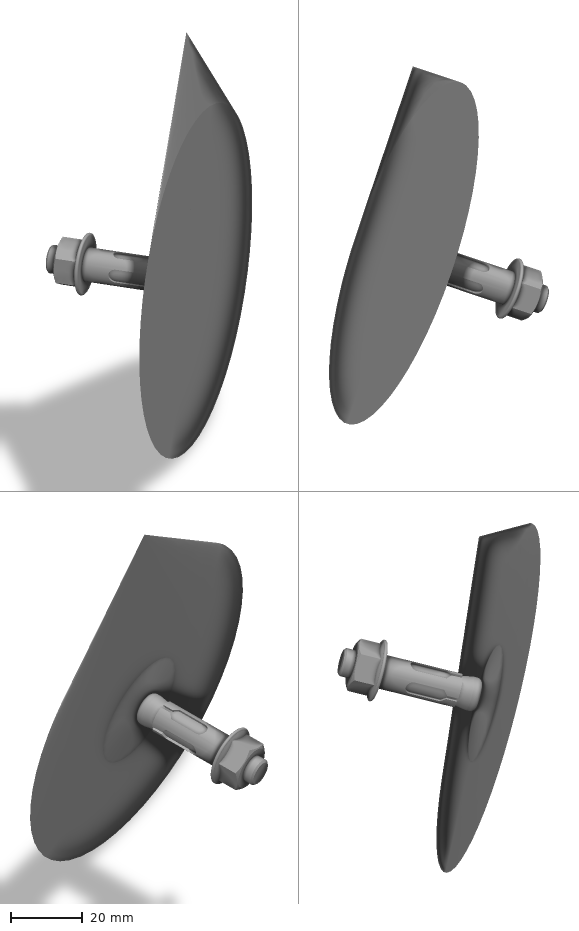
import cadquery as cq
import math


OVERALL_LENGTH = 42.73

PLATE_RADIUS = 50.0
PLATE_DEPTH = 2.73
OVERALL_HEIGHT = 127.11
TIP_HEIGHT = OVERALL_HEIGHT - PLATE_RADIUS

CENTER_CONE_RADIUS = 25.0
CENTER_CONE_HEIGHT = 2.9

STUD_RADIUS = 4.0
STUD_END_RADIUS = 3.45
STUD_START_X = -OVERALL_LENGTH

HEAD_RADIUS = 4.8
HEAD_CONE_START_X = -9.65
HEAD_CONE_END_X = -5.85
HEAD_CONE_END_RADIUS = 4.75
COLLAR_START_X = -5.45
COLLAR_END_X = -4.4
HEAD_END_X = -CENTER_CONE_HEIGHT

NUT_WIDTH = 13.0
NUT_START_X = -39.6
NUT_CHAMFER_RADIUS = 6.2
NUT_CHAMFER_LENGTH = 0.7
FLANGE_START_X = -33.6
FLANGE_END_X = -31.75
FLANGE_RADIUS = 8.8
FLANGE_RIM_RADIUS = 0.5

CORE_RADIUS = 4.1
SLEEVE_RADIUS = HEAD_RADIUS
SLEEVE_END_X = -8.9
WINDOW_COUNT = 4
WINDOW_WIDTH = 4.0
WINDOW_START_X = -24.0
WINDOW_TAPER_X = -13.4
SLIT_START_X = -12.1
SLIT_WIDTH = 1.1


def revolve_about_x(profile):
    """Close an outline drawn in x and radius, and turn it around the X axis."""
    return profile.close().revolve(360, (0, 0, 0), (1, 0, 0))


def make_center_cone():
    back_center = cq.Vector(0, 0, 0)
    toward_anchor = cq.Vector(-1, 0, 0)
    cone = cq.Solid.makeCone(CENTER_CONE_RADIUS, 0, CENTER_CONE_HEIGHT, back_center, toward_anchor)
    return cq.Workplane(obj=cone)


def make_plate():
    """Oblique cone from the round rim to the raised tip, with a seat for the center cone."""
    rim = cq.Wire.makeCircle(PLATE_RADIUS, cq.Vector(0, 0, 0), cq.Vector(1, 0, 0))
    tip = cq.Vertex.makeVertex(-PLATE_DEPTH, 0, TIP_HEIGHT)
    drop = cq.occ_impl.shapes.loft(rim, tip, cap=True, ruled=True)
    return cq.Workplane(obj=drop).cut(make_center_cone())


def make_core():
    """Stud, core under the sleeve and expander head as one turned shape."""
    end_chamfer = STUD_RADIUS - STUD_END_RADIUS
    return revolve_about_x(
        cq.Workplane("XY")
        .moveTo(STUD_START_X, 0)
        .lineTo(STUD_START_X, STUD_END_RADIUS)
        .lineTo(STUD_START_X + end_chamfer, STUD_RADIUS)
        .lineTo(FLANGE_END_X, STUD_RADIUS)
        .lineTo(FLANGE_END_X, CORE_RADIUS)
        .lineTo(HEAD_CONE_START_X, CORE_RADIUS)
        .lineTo(HEAD_CONE_END_X, HEAD_CONE_END_RADIUS)
        .lineTo(COLLAR_START_X, HEAD_RADIUS)
        .lineTo(COLLAR_END_X, HEAD_RADIUS)
        .tangentArcPoint((HEAD_END_X, STUD_END_RADIUS), relative=False)
        .lineTo(HEAD_END_X, 0)
    )


def make_nut():
    corner_radius = NUT_WIDTH / math.sqrt(3)
    hexagon = (
        cq.Workplane("YZ", origin=(NUT_START_X, 0, 0))
        .transformed(rotate=(0, 0, 90))
        .polygon(6, 2 * corner_radius)
        .extrude(FLANGE_END_X - NUT_START_X)
    )
    chamfered_blank = revolve_about_x(
        cq.Workplane("XY")
        .moveTo(NUT_START_X, 0)
        .lineTo(NUT_START_X, NUT_CHAMFER_RADIUS)
        .lineTo(NUT_START_X + NUT_CHAMFER_LENGTH, corner_radius)
        .lineTo(FLANGE_END_X, corner_radius)
        .lineTo(FLANGE_END_X, 0)
    )
    flange = revolve_about_x(
        cq.Workplane("XY")
        .moveTo(FLANGE_START_X, 0)
        .lineTo(FLANGE_START_X, NUT_WIDTH / 2)
        .lineTo(FLANGE_END_X - 2 * FLANGE_RIM_RADIUS, FLANGE_RADIUS - FLANGE_RIM_RADIUS)
        .threePointArc(
            (FLANGE_END_X - FLANGE_RIM_RADIUS, FLANGE_RADIUS),
            (FLANGE_END_X, FLANGE_RADIUS - FLANGE_RIM_RADIUS),
        )
        .lineTo(FLANGE_END_X, 0)
    )
    return hexagon.intersect(chamfered_blank).union(flange)


def make_window(angle):
    """Round-ended window that narrows to a slit running out of the sleeve end."""
    half_width = WINDOW_WIDTH / 2
    half_slit = SLIT_WIDTH / 2
    arc_x = WINDOW_START_X + half_width
    window = (
        cq.Workplane("XY")
        .moveTo(arc_x, half_width)
        .lineTo(WINDOW_TAPER_X, half_width)
        .lineTo(SLIT_START_X, half_slit)
        .lineTo(SLEEVE_END_X, half_slit)
        .lineTo(SLEEVE_END_X, -half_slit)
        .lineTo(SLIT_START_X, -half_slit)
        .lineTo(WINDOW_TAPER_X, -half_width)
        .lineTo(arc_x, -half_width)
        .threePointArc((WINDOW_START_X, 0), (arc_x, half_width))
        .close()
        .extrude(SLEEVE_RADIUS)
    )
    return window.rotate((0, 0, 0), (1, 0, 0), angle)


def make_sleeve():
    """Tube around the core; it becomes part of the anchor."""
    sleeve = (
        cq.Workplane("YZ", origin=(FLANGE_END_X, 0, 0))
        .circle(SLEEVE_RADIUS)
        .circle(CORE_RADIUS)
        .extrude(SLEEVE_END_X - FLANGE_END_X)
    )
    for index in range(WINDOW_COUNT):
        sleeve = sleeve.cut(make_window(index * 360 / WINDOW_COUNT))
    return sleeve


def make_anchor():
    return make_core().union(make_nut()).union(make_sleeve())


plate = make_plate().solids().val()
center_cone = make_center_cone().solids().val()
anchor = make_anchor().solids().val()

result = cq.Compound.makeCompound([plate, center_cone, anchor])